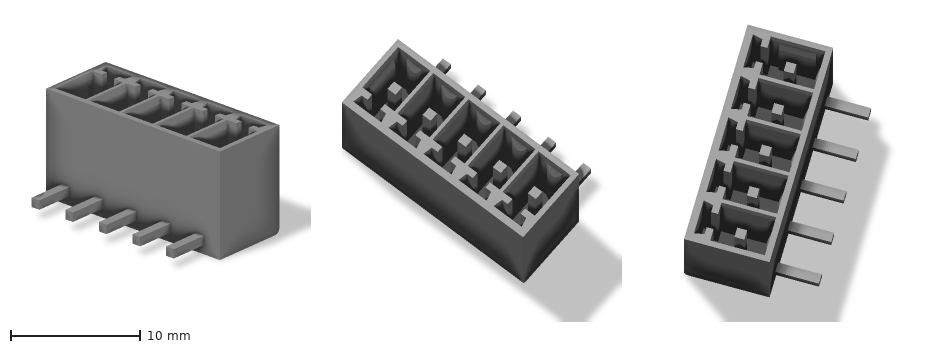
import cadquery as cq

pin_count = 5
length = 18.1
end_margin = 2.05
pitch = (length - 2 * end_margin) / (pin_count - 1)
body_depth = 6.9
height = 9.2
bottom_edge_radius = 0.45

front_wall = 0.5
floor_thickness = 2.0
cell_width = 3.0
cell_back = 4.9
cell_depth = height - floor_thickness

lead_in_side = 0.1
lead_in_height = 0.6

neck_width = 1.27
neck_back = 5.47
dovetail_front_width = 2.43
dovetail_back_width = 2.79
dovetail_back = 6.28

pin_size = 0.8
pin_y = 2.9
pin_foot_z = 1.2
pin_foot_length = 3.51
pin_top = 7.8

ramp_top = 8.24
ramp_height = 1.0

rib_width = 1.6
rib_projection = 0.29

catch_width = 2.97
catch_center_y = 2.7
catch_projection = 0.2

pin_centers = [-length / 2 + end_margin + i * pitch for i in range(pin_count)]


def box(x0, x1, y0, y1, z0, z1):
    return cq.Workplane("XY").box(x1 - x0, y1 - y0, z1 - z0, centered=False).translate((x0, y0, z0))


def housing():
    block = box(-length / 2, length / 2, 0, body_depth, 0, height)
    return block.edges(">Y and <Z").fillet(bottom_edge_radius)


def cell(x):
    pocket = box(x - cell_width / 2, x + cell_width / 2, front_wall, cell_back, floor_thickness, height)
    lead_in = (
        cq.Workplane("XZ", origin=(x, cell_back, height))
        .moveTo(-cell_width / 2 - lead_in_side, 0)
        .lineTo(-cell_width / 2, -lead_in_height)
        .lineTo(cell_width / 2, -lead_in_height)
        .lineTo(cell_width / 2 + lead_in_side, 0)
        .close()
        .extrude(cell_back - front_wall)
    )
    return pocket.union(lead_in)


def keyway(x):
    right_side = [
        (neck_width / 2, pin_y),
        (neck_width / 2, neck_back),
        (dovetail_front_width / 2, neck_back),
        (dovetail_back_width / 2, dovetail_back),
    ]
    left_side = [(-px, py) for px, py in reversed(right_side)]
    return (
        cq.Workplane("XY", origin=(x, 0, floor_thickness))
        .polyline(right_side + left_side)
        .close()
        .extrude(cell_depth)
    )


def rib(x):
    blank = (
        cq.Workplane("XY", origin=(x, front_wall, floor_thickness))
        .moveTo(-rib_width / 2, 0)
        .threePointArc((0, rib_projection), (rib_width / 2, 0))
        .close()
        .extrude(ramp_top - floor_thickness)
    )
    slope = (
        cq.Workplane("YZ", origin=(x - rib_width / 2, front_wall, ramp_top))
        .lineTo(rib_projection, 0)
        .lineTo(rib_projection, -ramp_height)
        .close()
        .extrude(rib_width)
    )
    return blank.cut(slope)


def pin(x):
    half = pin_size / 2
    foot = box(x - half, x + half, -pin_foot_length, pin_y + half, pin_foot_z - half, pin_foot_z + half)
    post = box(x - half, x + half, pin_y - half, pin_y + half, pin_foot_z - half, pin_top)
    return foot.union(post)


def catch(side):
    wall = pin_centers[-1] + cell_width / 2
    profile = [
        (side * wall, ramp_top),
        (side * (wall - catch_projection), ramp_top - ramp_height),
        (side * (wall - catch_projection), floor_thickness),
        (side * wall, floor_thickness),
    ]
    return (
        cq.Workplane("XZ", origin=(0, catch_center_y + catch_width / 2, 0))
        .polyline(profile)
        .close()
        .extrude(catch_width)
    )


result = housing()
for x in pin_centers:
    result = result.cut(cell(x)).cut(keyway(x))
    result = result.union(rib(x)).union(pin(x))
for side in (-1, 1):
    result = result.union(catch(side))